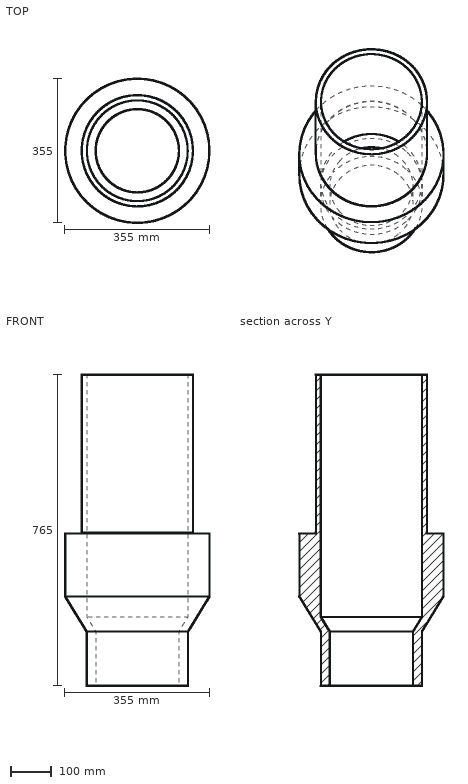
import cadquery as cq

total_height = 765.0
spigot_top = 134.0
cone_top = 219.5
collar_top = 375.0

relief_height = 2.0

spigot_diameter = 250.0
collar_diameter = 355.0
pipe_diameter = 274.0
relief_diameter = 273.0

spigot_bore = 204.0
pipe_bore = 248.0

cone_slope = (cone_top - spigot_top) / (collar_diameter - spigot_diameter)
bore_cone_top = spigot_top + cone_slope * (pipe_bore - spigot_bore)


def revolved_solid(profile):
    """Revolve a list of (diameter, height) points, closed along the Z axis."""
    first_height = profile[0][1]
    last_height = profile[-1][1]
    outline = [(0, first_height)]
    outline += [(diameter / 2, height) for diameter, height in profile]
    outline.append((0, last_height))
    return cq.Workplane("XZ").polyline(outline).close().revolve(360, (0, 0), (0, 1))


body = revolved_solid([
    (spigot_diameter, 0),
    (spigot_diameter, spigot_top),
    (collar_diameter, cone_top),
    (collar_diameter, collar_top),
    (relief_diameter, collar_top),
    (relief_diameter, collar_top + relief_height),
    (pipe_diameter, collar_top + relief_height),
    (pipe_diameter, total_height),
])

bore = revolved_solid([
    (spigot_bore, 0),
    (spigot_bore, spigot_top),
    (pipe_bore, bore_cone_top),
    (pipe_bore, total_height),
])

result = body.cut(bore)